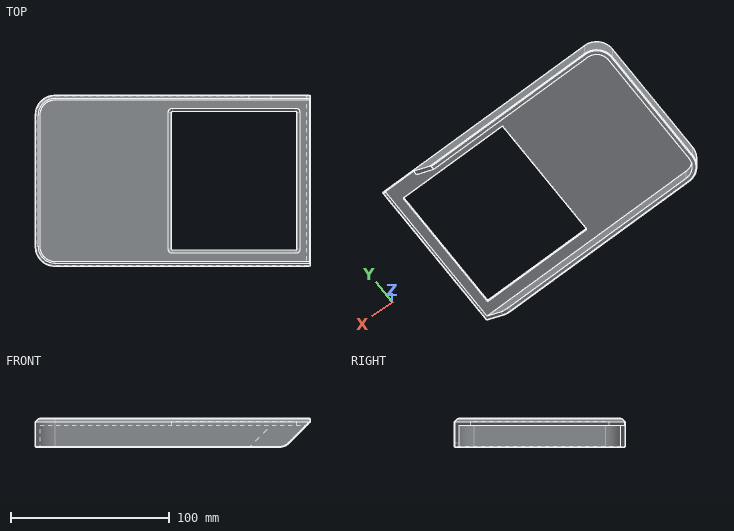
import cadquery as cq
length = 173.6
width = 108.0
height = 18.45
corner_radius = 12.5

top_chamfer = 2.4
top_blend = 0.65
bottom_chamfer = 0.55
end_chamfer = 0.6

end_face_bottom = height - top_chamfer
slope_start = 157.7
slope_radius = 9.0

wall = 3.0
plate_thickness = 4.75
plate_bottom = height - plate_thickness

short_wall_end = 135.0

window_start = 86.0
window_end = 165.0
window_width = 87.2
window_radius = 0.5
window_chamfer = 2.1
rim_margin = 0.1


def outer_shell():
    """Solid outline: rounded plan at -X, sloped underside at +X, softened edges."""
    body = (
        cq.Workplane("XZ")
        .polyline(
            [
                (0, 0),
                (slope_start, 0),
                (length, end_face_bottom),
                (length, height),
                (0, height),
            ]
        )
        .close()
        .extrude(width / 2, both=True)
    )
    slope_corner = cq.selectors.NearestToPointSelector((slope_start, 0, 0))
    body = body.edges(slope_corner).fillet(slope_radius)
    body = body.edges("|Z and <X").fillet(corner_radius)
    body = body.faces(">Z").edges("not >X").chamfer(top_chamfer)
    body = body.faces(">Z").edges("not >X").chamfer(top_blend)
    body = body.faces("<Z").edges("not >X").chamfer(bottom_chamfer)
    return body.faces(">Z").edges(">X").chamfer(end_chamfer)


def cavity():
    """Hollow below the plate, open at the bottom and at the +X end."""
    return (
        cq.Workplane("XY")
        .rect(length, width - 2 * wall)
        .extrude(plate_bottom)
        .translate((length / 2 + wall, 0, 0))
        .edges("|Z and <X")
        .fillet(corner_radius - wall)
    )


def short_wall_cut():
    """Removes the +Y wall beyond its 45 degree end, up to the plate."""
    return (
        cq.Workplane("XZ", origin=(0, width / 2, 0))
        .polyline(
            [
                (short_wall_end, 0),
                (length, 0),
                (length, plate_bottom),
                (short_wall_end + plate_bottom, plate_bottom),
            ]
        )
        .close()
        .extrude(wall)
    )


def cut_window(body):
    """Cuts the screen opening through the plate and chamfers its upper rim."""
    window_length = window_end - window_start
    window_middle = (window_start + window_end) / 2
    opening = (
        cq.Workplane("XY")
        .center(window_middle, 0)
        .rect(window_length, window_width)
        .extrude(height)
        .edges("|Z")
        .fillet(window_radius)
    )
    rim = cq.selectors.BoxSelector(
        (window_start - rim_margin, -window_width / 2 - rim_margin, height - rim_margin),
        (window_end + rim_margin, window_width / 2 + rim_margin, height + rim_margin),
        boundingbox=True,
    )
    return body.cut(opening).edges(rim).chamfer(window_chamfer)


result = cut_window(outer_shell().cut(cavity()).cut(short_wall_cut()))